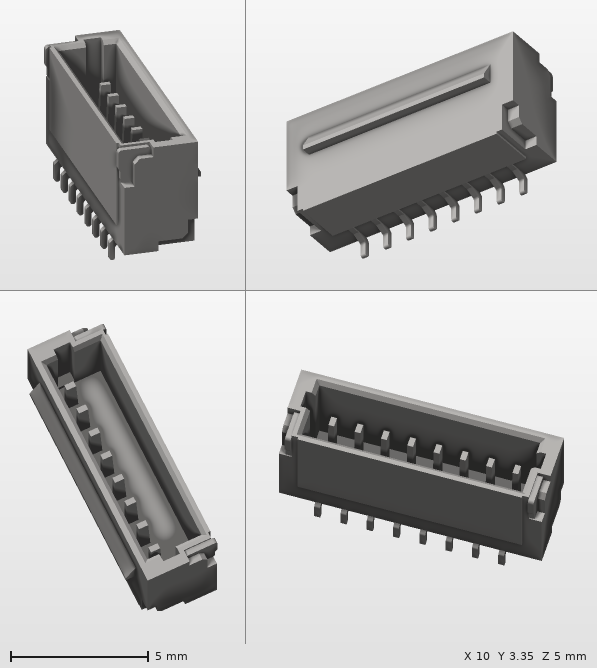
import cadquery as cq


body_length = 10.0
body_depth = 2.8
body_height = 4.19
half_length = body_length / 2

pad_length = 8.53
pad_thickness = 0.09
panel_height = 3.29
plate_depth = 1.91

cavity_length = 8.4
cavity_front = 0.24
cavity_back = 2.43
cavity_floor = body_height - panel_height
mouth_chamfer = 0.15
keyway_span = 9.14
keyway_front = 1.29
keyway_back = 1.96
keyway_floor = cavity_floor + 0.2

latch_length = 8.0
latch_reach = 0.4
latch_top = 3.12
latch_slope_end = 2.48
latch_bottom = 2.3

notch_depth = 0.49
notch_leg = 0.39
notch_chamfer = 0.2
clip_notch_reach = 1.1
clip_notch_drop = 1.48
relief_notch_reach = 1.51
relief_notch_rise = 1.11

clip_thickness = 0.22
clip_gap = 0.09
clip_front = -0.15
clip_toe_front = -0.06
clip_step_top = body_height - 0.8
clip_step_bottom = body_height - 0.99
clip_radius = 0.13

pin_count = 8
pin_pitch = 1.0
pin_width = 0.22
post_front = 1.53
post_back = 1.99
post_top = 2.84
post_top_front = 1.62
foot_bottom = -0.81
foot_front = -0.15
foot_thickness = 0.21
foot_radius = 0.1
foot_shoulder = -0.1
foot_arm_bottom = -0.06
foot_arm_start = 0.51
foot_arm_end = -0.26
foot_root = 0.9
foot_root_top = 0.15
foot_exit = 0.02


def block(x_min, x_max, y_min, y_max, z_min, z_max):
    """Axis-aligned box given by its limits."""
    size = (x_max - x_min, y_max - y_min, z_max - z_min)
    return cq.Workplane("XY").box(*size, centered=False).translate((x_min, y_min, z_min))


def centred_block(length, y_min, y_max, z_min, z_max):
    """Box centred on X = 0."""
    return block(-length / 2, length / 2, y_min, y_max, z_min, z_max)


def side_profile(points, x_min, width):
    """Closed outline of (Y, Z) points, extruded along +X from x_min."""
    outline = cq.Workplane("YZ").workplane(offset=x_min).polyline(points).close()
    return outline.extrude(width)


def at_both_ends(shape):
    """The shape together with its mirror image at the other end of the part."""
    return shape.union(shape.mirror("YZ"))


def round_corner(shape, corner, radius):
    """Fillet the edge along X that passes nearest to the given (Y, Z) corner."""
    middle_x = shape.val().Center().x
    edge = cq.selectors.NearestToPointSelector((middle_x, *corner))
    return shape.edges("|X").edges(edge).fillet(radius)


def make_body():
    body = centred_block(body_length, 0, body_depth, 0, body_height)
    panel = centred_block(pad_length, -pad_thickness, 0, cavity_floor, body_height)
    plate = centred_block(pad_length, body_depth - plate_depth, body_depth, -pad_thickness, 0)
    latch = side_profile(
        [
            (body_depth, latch_top),
            (body_depth + latch_reach, latch_slope_end),
            (body_depth + latch_reach, latch_bottom),
            (body_depth, latch_bottom),
        ],
        -latch_length / 2,
        latch_length,
    )
    return body.union(panel).union(plate).union(latch)


def make_cavity():
    cavity = centred_block(cavity_length, cavity_front, cavity_back, cavity_floor, body_height)
    mouth = (
        cq.Workplane("XY")
        .workplane(offset=body_height)
        .center(0, (cavity_front + cavity_back) / 2)
        .rect(cavity_length + 2 * mouth_chamfer, cavity_back - cavity_front + 2 * mouth_chamfer)
        .extrude(-mouth_chamfer, taper=45)
    )
    keyways = centred_block(keyway_span, keyway_front, keyway_back, keyway_floor, body_height)
    return cavity.union(mouth).union(keyways)


def corner_notch(corner_y, corner_z, reach, drop, y_sign, z_sign):
    """L-shaped notch at one end; the signs point from the body corner into the body."""
    offsets = [
        (0, 0),
        (reach, 0),
        (reach, notch_leg),
        (notch_leg + notch_chamfer, notch_leg),
        (notch_leg, notch_leg + notch_chamfer),
        (notch_leg, drop),
        (0, drop),
    ]
    points = [(corner_y + y_sign * u, corner_z + z_sign * v) for u, v in offsets]
    return side_profile(points, -half_length, notch_depth)


def make_notches():
    clip_notch = corner_notch(0, body_height, clip_notch_reach, clip_notch_drop, 1, -1)
    relief_notch = corner_notch(body_depth, 0, relief_notch_reach, relief_notch_rise, -1, 1)
    return at_both_ends(clip_notch.union(relief_notch))


def make_clips():
    top = body_height - clip_gap
    bottom = body_height - clip_notch_drop + clip_gap
    step_y = (clip_front + clip_toe_front) / 2
    step_z = (clip_step_top + clip_step_bottom) / 2
    clip = (
        cq.Workplane("YZ")
        .workplane(offset=-half_length + notch_depth - clip_thickness)
        .moveTo(clip_notch_reach, top)
        .lineTo(clip_front, top)
        .lineTo(clip_front, clip_step_top)
        .tangentArcPoint((step_y, step_z), relative=False)
        .tangentArcPoint((clip_toe_front, clip_step_bottom), relative=False)
        .lineTo(clip_toe_front, bottom)
        .lineTo(notch_leg, bottom)
        .lineTo(notch_leg, body_height - notch_leg - notch_chamfer)
        .lineTo(notch_leg + notch_chamfer, body_height - notch_leg)
        .lineTo(clip_notch_reach, body_height - notch_leg)
        .close()
        .extrude(clip_thickness)
    )
    rounded_corners = [
        (clip_notch_reach, top),
        (clip_front, top),
        (clip_toe_front, bottom),
        (notch_leg, bottom),
    ]
    for corner in rounded_corners:
        clip = round_corner(clip, corner, clip_radius)
    return at_both_ends(clip)


def make_pin():
    """Pin centred on X = 0: a tapered post in the cavity and a bent foot below the body."""
    half_width = pin_width / 2
    post = side_profile(
        [
            (post_front, cavity_floor),
            (post_back, cavity_floor),
            (post_back, post_top),
            (post_top_front, post_top),
        ],
        -half_width,
        pin_width,
    )
    foot_back = foot_front + foot_thickness
    shoulder = (foot_front, foot_shoulder)
    tip_front = (foot_front, foot_bottom)
    tip_back = (foot_back, foot_bottom)
    inner_bend = (foot_back, foot_arm_end)
    foot = side_profile(
        [
            (foot_root, foot_root_top),
            (0, foot_exit),
            shoulder,
            tip_front,
            tip_back,
            inner_bend,
            (foot_arm_start, foot_arm_bottom),
            (foot_root, foot_arm_bottom),
        ],
        -half_width,
        pin_width,
    )
    for corner in (shoulder, tip_front, tip_back, inner_bend):
        foot = round_corner(foot, corner, foot_radius)
    return post.union(foot)


housing = make_body().cut(make_cavity()).cut(make_notches())
result = housing.union(make_clips())
pin = make_pin()
for index in range(pin_count):
    pin_x = (index - (pin_count - 1) / 2) * pin_pitch
    result = result.union(pin.translate((pin_x, 0, 0)))